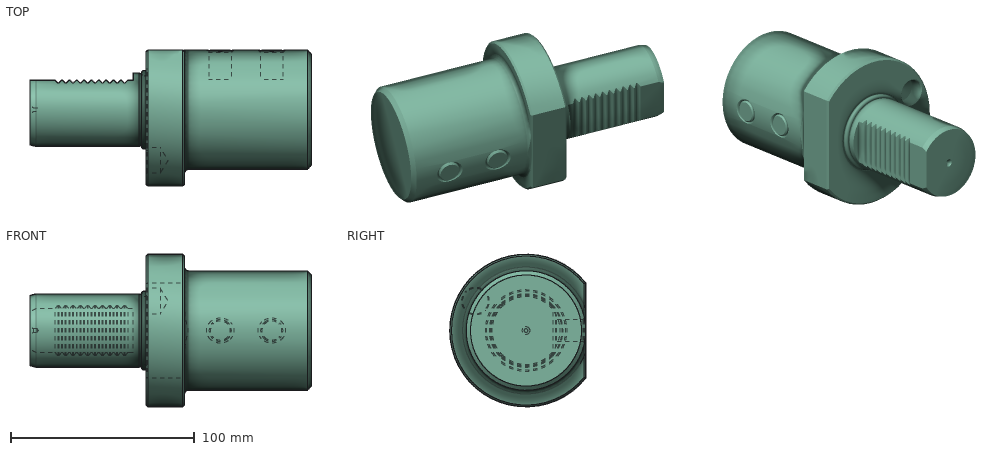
import cadquery as cq
import math


SHANK_RADIUS = 20.0
SHANK_LENGTH = 63.0
SHANK_CHAMFER_LENGTH = 3.3
SHANK_CHAMFER_ANGLE = 15.0
FLAT_OFFSET = 16.1
FLAT_END_X = -6.9
TOOTH_COUNT = 10
TOOTH_PITCH = 4.0
TOOTH_DEPTH = 1.5
TOOTH_FLOOR_WIDTH = 0.5
FIRST_TOOTH_X = -47.6

FLANGE_RADIUS = 41.5
FLANGE_THICKNESS = 21.0
FLANGE_CHAMFER = 1.0
BODY_RADIUS = 32.5
BODY_END_X = 90.0
BODY_CHAMFER = 2.3
BODY_FILLET = 2.0

SEAL_CORD_RADIUS = 1.5
SEAL_CENTRE_RADIUS = 19.95
SEAL_X = -0.9
GROOVE_BOTTOM_RADIUS = SEAL_CENTRE_RADIUS - SEAL_CORD_RADIUS
GROOVE_START_X = SEAL_X - SEAL_CORD_RADIUS
GROOVE_FLOOR_X = SEAL_X + SEAL_CORD_RADIUS
RECESS_RADIUS = 22.2
NECK_TAPER_START_X = -3.7
NECK_RADIUS = 19.5

CENTRE_RADIUS = 2.1
CENTRE_PILOT_RADIUS = 1.0
CENTRE_PILOT_DEPTH = 2.0
CENTRE_CONE_ANGLE = 60.0

PORT_Y = -27.5
PORT_Z = 16.0
PORT_RADIUS = 7.0
PORT_DEPTH = 7.8
PORT_CHAMFER = 0.5
DRILL_POINT_ANGLE = 118.0

SCREW_POSITIONS = (40.4, 68.4)
SCREW_RADIUS = 6.0
SCREW_LENGTH = 16.0
SCREW_CHAMFER = 0.7
COUNTERSINK_RADIUS = 7.5


def cone_depth(large_radius, small_radius, full_angle):
    return (large_radius - small_radius) / math.tan(math.radians(full_angle / 2))


def revolve_about_x(profile):
    """Turn an (x, radius) outline around the X axis."""
    return cq.Workplane("XY").polyline(profile).close().revolve(360, (0, 0, 0), (1, 0, 0))


def shank():
    end_radius = SHANK_RADIUS - SHANK_CHAMFER_LENGTH * math.tan(math.radians(SHANK_CHAMFER_ANGLE))
    turned = revolve_about_x([
        (-SHANK_LENGTH, 0),
        (-SHANK_LENGTH, end_radius),
        (-SHANK_LENGTH + SHANK_CHAMFER_LENGTH, SHANK_RADIUS),
        (NECK_TAPER_START_X, SHANK_RADIUS),
        (GROOVE_START_X, NECK_RADIUS),
        (GROOVE_START_X, GROOVE_BOTTOM_RADIUS),
        (GROOVE_FLOOR_X, GROOVE_BOTTOM_RADIUS),
        (GROOVE_FLOOR_X, 0),
    ])
    return turned.cut(shank_flat()).cut(centre_drilling())


def shank_flat():
    """Material removed for the flat and the row of clamping teeth in it."""
    cutter = (
        cq.Workplane("XY")
        .moveTo(-SHANK_LENGTH, FLAT_OFFSET)
        .lineTo(FLAT_END_X, FLAT_OFFSET)
        .lineTo(FLAT_END_X, SHANK_RADIUS)
        .lineTo(-SHANK_LENGTH, SHANK_RADIUS)
        .close()
        .extrude(SHANK_RADIUS, both=True)
    )
    half_floor = TOOTH_FLOOR_WIDTH / 2
    half_top = half_floor + TOOTH_DEPTH
    for index in range(TOOTH_COUNT):
        x = FIRST_TOOTH_X + index * TOOTH_PITCH
        valley = (
            cq.Workplane("XY")
            .polyline([
                (x - half_top, FLAT_OFFSET),
                (x - half_floor, FLAT_OFFSET - TOOTH_DEPTH),
                (x + half_floor, FLAT_OFFSET - TOOTH_DEPTH),
                (x + half_top, FLAT_OFFSET),
            ])
            .close()
            .extrude(SHANK_RADIUS, both=True)
        )
        cutter = cutter.union(valley)
    return cutter


def centre_drilling():
    cone_end_x = -SHANK_LENGTH + cone_depth(CENTRE_RADIUS, CENTRE_PILOT_RADIUS, CENTRE_CONE_ANGLE)
    pilot_end_x = cone_end_x + CENTRE_PILOT_DEPTH
    tip_x = pilot_end_x + cone_depth(CENTRE_PILOT_RADIUS, 0, DRILL_POINT_ANGLE)
    return revolve_about_x([
        (-SHANK_LENGTH, 0),
        (-SHANK_LENGTH, CENTRE_RADIUS),
        (cone_end_x, CENTRE_PILOT_RADIUS),
        (pilot_end_x, CENTRE_PILOT_RADIUS),
        (tip_x, 0),
    ])


def flange():
    """Disc with one flat side, its edges chamfered, and the recess for the seal ring."""
    disc = cq.Workplane("YZ").circle(FLANGE_RADIUS).extrude(FLANGE_THICKNESS)
    disc = disc.cut(beyond_flange_flat()).faces("<X or >X").chamfer(FLANGE_CHAMFER)
    recess = cq.Workplane("YZ").circle(RECESS_RADIUS).extrude(GROOVE_FLOOR_X)
    return disc.cut(recess).cut(port())


def beyond_flange_flat():
    """Space outside the flange flat, which is tangent to the cylindrical body."""
    return cq.Workplane("XY").box(
        FLANGE_THICKNESS + BODY_FILLET, FLANGE_RADIUS, 2 * FLANGE_RADIUS, centered=(False, False, True)
    ).translate((0, BODY_RADIUS, 0))


def port():
    point_x = PORT_DEPTH + cone_depth(PORT_RADIUS, 0, DRILL_POINT_ANGLE)
    return revolve_about_x([
        (0, 0),
        (0, PORT_RADIUS + PORT_CHAMFER),
        (PORT_CHAMFER, PORT_RADIUS),
        (PORT_DEPTH, PORT_RADIUS),
        (point_x, 0),
    ]).translate((0, PORT_Y, PORT_Z))


def body():
    """Cylinder behind the flange, with a concave fillet at its root."""
    fillet_end_x = FLANGE_THICKNESS + BODY_FILLET
    diagonal = BODY_FILLET * (1 - math.sqrt(0.5))
    turned = (
        cq.Workplane("XY")
        .moveTo(FLANGE_THICKNESS, 0)
        .lineTo(FLANGE_THICKNESS, BODY_RADIUS + BODY_FILLET)
        .threePointArc((FLANGE_THICKNESS + diagonal, BODY_RADIUS + diagonal), (fillet_end_x, BODY_RADIUS))
        .lineTo(BODY_END_X - BODY_CHAMFER, BODY_RADIUS)
        .lineTo(BODY_END_X, BODY_RADIUS - BODY_CHAMFER)
        .lineTo(BODY_END_X, 0)
        .close()
        .revolve(360, (0, 0, 0), (1, 0, 0))
    )
    turned = turned.cut(beyond_flange_flat())
    for x in SCREW_POSITIONS:
        turned = turned.cut(screw_hole(x))
    return turned


def screw_hole(x):
    """Blind hole entering from +Y, with a 45 degree countersink."""
    countersink_bottom_y = BODY_RADIUS - (COUNTERSINK_RADIUS - SCREW_RADIUS)
    return (
        cq.Workplane("XY")
        .polyline([
            (0, BODY_RADIUS - SCREW_LENGTH),
            (SCREW_RADIUS, BODY_RADIUS - SCREW_LENGTH),
            (SCREW_RADIUS, countersink_bottom_y),
            (COUNTERSINK_RADIUS, BODY_RADIUS),
            (0, BODY_RADIUS),
        ])
        .close()
        .revolve(360, (0, 0, 0), (0, 1, 0))
        .translate((x, 0, 0))
    )


def set_screw(x):
    """Plain screw whose chamfered outer end is level with the crest of the body."""
    return (
        cq.Workplane("XZ", origin=(x, BODY_RADIUS, 0))
        .circle(SCREW_RADIUS)
        .extrude(SCREW_LENGTH)
        .faces(">Y")
        .chamfer(SCREW_CHAMFER)
    )


def seal_ring():
    return (
        cq.Workplane("XY")
        .center(SEAL_X, SEAL_CENTRE_RADIUS)
        .circle(SEAL_CORD_RADIUS)
        .revolve(360, (0, -SEAL_CENTRE_RADIUS, 0), (1, -SEAL_CENTRE_RADIUS, 0))
    )


housing = flange().union(shank()).union(body())
seal = seal_ring()
set_screws = [set_screw(x) for x in SCREW_POSITIONS]

result = cq.Compound.makeCompound([
    housing.val(),
    seal.val(),
    *[screw.val() for screw in set_screws],
])